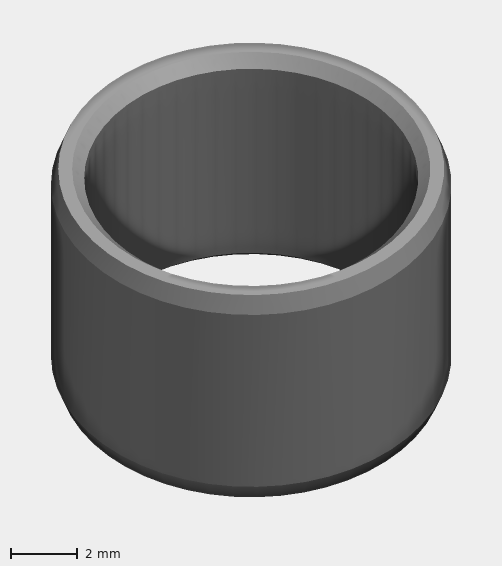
import cadquery as cq
import math

outer_radius = 6.0
bore_radius = 5.0
height = 8.0

lead_in_height = 0.6
lead_in_angle = 20.0
lead_in_depth = lead_in_height * math.tan(math.radians(lead_in_angle))

bore_chamfer = 0.36

wall_section = (
    cq.Workplane("YZ")
    .moveTo(-bore_radius, bore_chamfer)
    .lineTo(-bore_radius - bore_chamfer, 0)
    .lineTo(-outer_radius + lead_in_depth, 0)
    .lineTo(-outer_radius, lead_in_height)
    .lineTo(-outer_radius, height - lead_in_height)
    .lineTo(-outer_radius + lead_in_depth, height)
    .lineTo(-bore_radius - bore_chamfer, height)
    .lineTo(-bore_radius, height - bore_chamfer)
    .close()
)

result = wall_section.revolve(360, (0, 0, 0), (0, 1, 0))